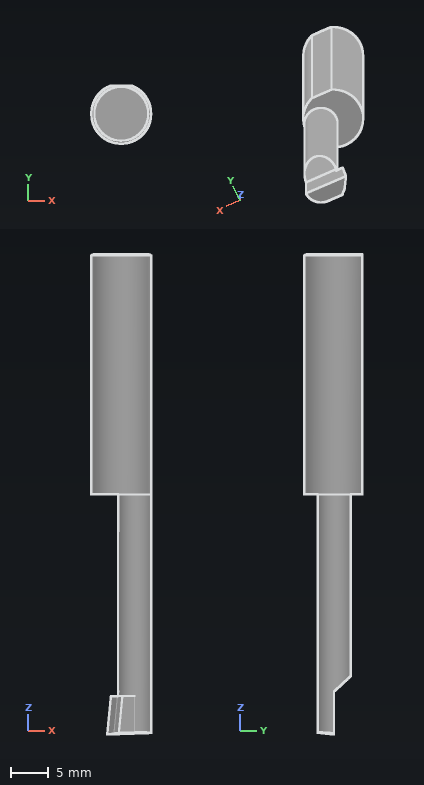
import cadquery as cq
import math

total_length = 63.5
shank_length = total_length / 2
neck_length = total_length - shank_length
shank_diameter = 7.9375
shank_radius = shank_diameter / 2
flat_depth = 0.26
chamfer_radial = 0.4
chamfer_angle = 30.0
chamfer_axial = chamfer_radial * math.tan(math.radians(chamfer_angle))

neck_diameter = 4.4
neck_radius = neck_diameter / 2
neck_x = shank_radius - neck_radius

rake_y = 0.0
runout_start_z = 5.7
runout_end_z = 7.75

head_height = 5.1
lean_angle = 5.5
tip_x = -1.87
primary_width = 0.88
primary_depth = 1.53
secondary_width = 0.65

end_rise_angle_x = 2.0
end_rise_angle_y = 5.0

clearance = 5.0


def make_shank():
    shank = (
        cq.Workplane("XY")
        .workplane(offset=neck_length)
        .circle(shank_radius)
        .extrude(shank_length)
        .faces(">Z")
        .edges()
        .chamfer(chamfer_axial, chamfer_radial)
    )
    flat_cut = (
        cq.Workplane("XY")
        .box(shank_diameter, shank_diameter, total_length, centered=(True, False, False))
        .translate((0, shank_radius - flat_depth, 0))
    )
    return shank.cut(flat_cut)


def make_neck():
    neck = (
        cq.Workplane("XY")
        .center(neck_x, 0)
        .circle(neck_radius)
        .extrude(neck_length)
    )
    runout_slope = (runout_end_z - runout_start_z) / (neck_radius - rake_y)
    outer_y = neck_radius + clearance
    relief = (
        cq.Workplane("YZ")
        .moveTo(rake_y, -clearance)
        .lineTo(rake_y, runout_start_z)
        .lineTo(outer_y, runout_start_z + runout_slope * (outer_y - rake_y))
        .lineTo(outer_y, -clearance)
        .close()
        .extrude(shank_diameter, both=True)
    )
    return neck.cut(relief)


def head_section(z):
    """Wire of the head at height z; the clearance faces shift toward +X as z grows."""
    edge_x = tip_x + z * math.tan(math.radians(lean_angle))
    heel_x = edge_x + primary_width
    return cq.Wire.makePolygon(
        [
            cq.Vector(edge_x, rake_y, z),
            cq.Vector(heel_x, rake_y - primary_depth, z),
            cq.Vector(heel_x + secondary_width, -neck_radius, z),
            cq.Vector(neck_x, -neck_radius, z),
            cq.Vector(neck_x, rake_y, z),
        ],
        close=True,
    )


def make_head():
    return cq.Workplane(cq.Solid.makeLoft([head_section(0), head_section(head_height)], True))


def make_end_relief():
    """Block below the inclined end face that passes through the tip."""
    size = 2 * shank_diameter
    return (
        cq.Workplane("XY")
        .box(size, size, clearance, centered=(True, True, False))
        .translate((0, 0, -clearance))
        .rotate((0, 0, 0), (1, 0, 0), -end_rise_angle_y)
        .rotate((0, 0, 0), (0, 1, 0), -end_rise_angle_x)
        .translate((tip_x, rake_y, 0))
    )


result = make_shank().union(make_neck()).union(make_head()).cut(make_end_relief())